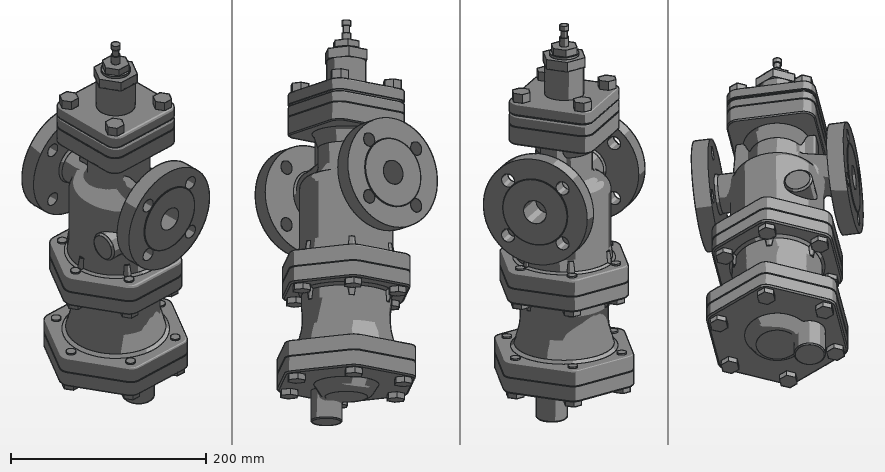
import cadquery as cq
import math

TOP = 417.5

STEM_DIA = 9.0
STEM_NECK_DIA = 6.5
STEM_HEAD_BOTTOM = 412.0
STEM_NECK_BOTTOM = 404.0
STEM_BOTTOM = 395.0
LOCK_NUT_FLATS = 24.5
LOCK_NUT_BOTTOM = 387.5
WASHER_DIA = 30.0
COLUMN_DIA = 40.0
CAP_NUT_TOP = 385.0
CAP_NUT_BOTTOM = 374.5

BONNET_SIDE = 92.3
BONNET_CORNER_RADIUS = 12.5
BONNET_TOP = 342.5
BONNET_GAP_TOP = 330.2
BONNET_GAP_BOTTOM = 328.5
BONNET_SEAM = 317.5
BONNET_BOTTOM = 297.3
BONNET_TOP_ROUND = 2.5
BONNET_BOTTOM_CHAMFER = 1.3
BONNET_GAP_DEPTH = 1.5
BONNET_BOLT_OFFSET = 34.0
BONNET_BOLT_FLATS = 17.0
BONNET_BOLT_HEIGHT = 9.5

NECK_DIA = 58.0
NECK_FLARE_DIA = 66.0
NECK_FLARE_TOP = 294.5
NECK_FOOT_DIA = 70.0
NECK_FLARE_BOTTOM = 282.5
NECK_BOTTOM = 261.0
BODY_DIA = 96.0
SHOULDER_SEAM_DIA = 75.0
SHOULDER_SEAM_Z = 251.5
SHOULDER_BOTTOM = 238.0
BODY_SKIRT_TOP = 178.0
BODY_SKIRT_DIA = 99.5
BODY_FOOT_DIA = 105.2
FOOT_HEIGHT = 2.0

LOWER_BODY_DIA = 92.3
LOWER_WAIST_DIA = 90.0
LOWER_COLLAR_BOTTOM = 114.5
LOWER_COLLAR_TOP = 126.0
LOWER_COLLAR_FOOT_DIA = 97.5
LOWER_FLARE_TOP = 89.0
LOWER_FLARE_DIA = 102.5
LOWER_FOOT_DIA = 110.2
LOWER_FOOT_HEIGHT = 3.0

HEX_BOTTOM_CHAMFER = 1.5
SEAM_HEIGHT = 1.0
SEAM_DEPTH = 0.5
UPPER_HEX_FLATS = 125.0
UPPER_HEX_CORNER_RADIUS = 13.5
UPPER_HEX_TOP = 163.5
UPPER_HEX_TOP_ROUND = 2.5
UPPER_HEX_SEAM = 146.0
UPPER_HEX_BOTTOM = 129.0
UPPER_BOLT_CIRCLE_DIA = 114.0
LOWER_HEX_FLATS = 135.0
LOWER_HEX_CORNER_RADIUS = 12.0
LOWER_HEX_TOP = 67.0
LOWER_HEX_TOP_ROUND = 1.5
LOWER_HEX_SEAM = 50.0
LOWER_HEX_BOTTOM = 32.5
LOWER_BOLT_CIRCLE_DIA = 127.0
HEX_BOLT_FLATS = 16.5
HEX_BOLT_HEIGHT = 6.3
STUD_DIA = 10.0
STUD_HEIGHT = 1.5
UPPER_RIB_CIRCLE_DIA = 94.5
LOWER_RIB_CIRCLE_DIA = 89.5
RIB_BASE_DIA = 10.0
RIB_TIP_DIA = 6.0
RIB_HEIGHT = 13.5

PORT_Z = 240.5
FLANGE_DIA = 115.0
FLANGE_FACE_X = 79.1
FLANGE_BACK_X = 61.8
RAISED_FACE_DIA = 72.0
RAISED_FACE_CHAMFER = 0.63
OVERALL_X = 160.0
FLANGE_HOLE_DIA = 14.0
FLANGE_HOLE_OFFSET = 30.0
PORT_BORE_DIA = 25.0
PORT_BORE_DEPTH = 33.5
PIPE_DIA = 40.0
PIPE_FLARE_DIA = 42.5
PIPE_FLARE_X = 58.5
PIPE_FILLET = 4.0
INNER_PIPE_WIDTH = 36.0
INNER_PIPE_HEIGHT = 36.7
INNER_PIPE_X = 21.0
INNER_PIPE_Z = 260.0
ELBOW_HEIGHT = 47.0
ELBOW_FLARE_HEIGHT = 50.5
ELBOW_Z = 246.0
PIER_TOP_X = 41.8
PIER_FOOT_X = 44.5
PIER_FOOT_Z = 254.5
PIER_WIDTH = 20.0
PIER_CORNER_RADIUS = 2.5
PIER_NECK_FILLET = 8.0

PAD_X = 29.5
PAD_Z = 203.0
PAD_DIA = 30.0
PAD_FACE_Y = -46.8
PAD_CHAMFER = 2.0

DISH_TOP_DIA = 67.0
DISH_RIM_DIA = 58.0
DISH_RIM_Z = 26.0
DISH_BOTTOM_DIA = 43.5
DISH_BOTTOM = 19.5
OUTLET_X = 34.0
OUTLET_DIA = 32.0
OUTLET_CHAMFER = 1.3
OUTLET_FILLET = 2.5


def cylinder(dia, bottom, top, x=0, y=0):
    return cq.Workplane("XY", origin=(x, y, bottom)).circle(dia / 2).extrude(top - bottom)


def hexagon(flats, bottom, top, x=0, y=0):
    """Hexagonal prism with two corners on the Y direction."""
    points = []
    for i in range(6):
        angle = math.radians(30 + 60 * i)
        radius = flats / math.sqrt(3)
        points.append((radius * math.cos(angle), radius * math.sin(angle)))
    return cq.Workplane("XY", origin=(x, y, bottom)).polyline(points).close().extrude(top - bottom)


def rounded_hexagon(flats, corner_radius, bottom, top):
    return hexagon(flats, bottom, top).edges("|Z").fillet(corner_radius)


def rounded_square(side, corner_radius, bottom, top):
    plate = cq.Workplane("XY", origin=(0, 0, bottom)).rect(side, side).extrude(top - bottom)
    return plate.edges("|Z").fillet(corner_radius)


def cone(bottom_dia, top_dia, bottom, top, x=0, y=0):
    solid = cq.Solid.makeCone(bottom_dia / 2, top_dia / 2, top - bottom, pnt=cq.Vector(x, y, bottom))
    return cq.Workplane(obj=solid)


def hex_positions(circle_dia):
    """Six places on a circle, in line with the flange corners."""
    positions = []
    for i in range(6):
        angle = math.radians(30 + 60 * i)
        positions.append((circle_dia / 2 * math.cos(angle), circle_dia / 2 * math.sin(angle)))
    return positions


def stem_and_nuts():
    parts = cylinder(COLUMN_DIA, BONNET_TOP, CAP_NUT_TOP)
    parts = parts.union(hexagon(COLUMN_DIA, CAP_NUT_BOTTOM, CAP_NUT_TOP))
    parts = parts.union(cylinder(WASHER_DIA, CAP_NUT_TOP, LOCK_NUT_BOTTOM))
    parts = parts.union(hexagon(LOCK_NUT_FLATS, LOCK_NUT_BOTTOM, STEM_BOTTOM))
    parts = parts.union(cylinder(STEM_DIA, STEM_BOTTOM, STEM_NECK_BOTTOM))
    parts = parts.union(cylinder(STEM_NECK_DIA, STEM_NECK_BOTTOM, STEM_HEAD_BOTTOM))
    return parts.union(cylinder(STEM_DIA, STEM_HEAD_BOTTOM, TOP))


def bonnet():
    top_plate = rounded_square(BONNET_SIDE, BONNET_CORNER_RADIUS, BONNET_GAP_TOP, BONNET_TOP)
    top_plate = top_plate.faces(">Z").edges().fillet(BONNET_TOP_ROUND)
    middle_plate = rounded_square(BONNET_SIDE, BONNET_CORNER_RADIUS, BONNET_SEAM, BONNET_GAP_BOTTOM)
    middle_plate = middle_plate.faces(">Z").edges().fillet(BONNET_TOP_ROUND)
    seam_bottom = BONNET_SEAM - SEAM_HEIGHT
    bottom_plate = rounded_square(BONNET_SIDE, BONNET_CORNER_RADIUS, BONNET_BOTTOM, seam_bottom)
    bottom_plate = bottom_plate.faces("<Z").chamfer(BONNET_BOTTOM_CHAMFER)
    gap_filler = rounded_square(
        BONNET_SIDE - 2 * BONNET_GAP_DEPTH,
        BONNET_CORNER_RADIUS - BONNET_GAP_DEPTH,
        BONNET_GAP_BOTTOM,
        BONNET_GAP_TOP,
    )
    seam_filler = rounded_square(
        BONNET_SIDE - 2 * SEAM_DEPTH, BONNET_CORNER_RADIUS - SEAM_DEPTH, seam_bottom, BONNET_SEAM
    )
    block = bottom_plate.union(seam_filler).union(middle_plate).union(gap_filler).union(top_plate)
    for x in (-BONNET_BOLT_OFFSET, BONNET_BOLT_OFFSET):
        for y in (-BONNET_BOLT_OFFSET, BONNET_BOLT_OFFSET):
            bolt = hexagon(BONNET_BOLT_FLATS, BONNET_TOP, BONNET_TOP + BONNET_BOLT_HEIGHT, x, y)
            block = block.union(bolt)
    return block


def turned_body():
    """Neck, shoulder, body and lower body turned about the Z axis."""
    body_radius = BODY_DIA / 2
    seam_radius = SHOULDER_SEAM_DIA / 2
    across = body_radius - seam_radius
    rise = SHOULDER_SEAM_Z - SHOULDER_BOTTOM
    shoulder_radius = (across**2 + rise**2) / (2 * across)
    half_turn = math.asin(rise / shoulder_radius) / 2
    shoulder_middle = (
        body_radius - shoulder_radius * (1 - math.cos(half_turn)),
        SHOULDER_BOTTOM + shoulder_radius * math.sin(half_turn),
    )
    profile = (
        cq.Workplane("XZ")
        .moveTo(0, LOWER_HEX_TOP)
        .lineTo(LOWER_FOOT_DIA / 2, LOWER_HEX_TOP)
        .lineTo(LOWER_FLARE_DIA / 2, LOWER_HEX_TOP + LOWER_FOOT_HEIGHT)
        .lineTo(LOWER_BODY_DIA / 2, LOWER_FLARE_TOP)
        .threePointArc(
            (LOWER_WAIST_DIA / 2, (LOWER_FLARE_TOP + LOWER_COLLAR_BOTTOM) / 2),
            (LOWER_BODY_DIA / 2, LOWER_COLLAR_BOTTOM),
        )
        .lineTo(LOWER_BODY_DIA / 2, LOWER_COLLAR_TOP)
        .lineTo(LOWER_COLLAR_FOOT_DIA / 2, UPPER_HEX_BOTTOM)
        .lineTo(LOWER_COLLAR_FOOT_DIA / 2, UPPER_HEX_TOP)
        .lineTo(BODY_FOOT_DIA / 2, UPPER_HEX_TOP)
        .lineTo(BODY_SKIRT_DIA / 2, UPPER_HEX_TOP + FOOT_HEIGHT)
        .lineTo(body_radius, BODY_SKIRT_TOP)
        .lineTo(body_radius, SHOULDER_BOTTOM)
        .threePointArc(shoulder_middle, (seam_radius, SHOULDER_SEAM_Z))
        .tangentArcPoint((NECK_DIA / 2, NECK_BOTTOM), relative=False)
        .lineTo(NECK_DIA / 2, NECK_FLARE_BOTTOM)
        .lineTo(NECK_FLARE_DIA / 2, NECK_FLARE_TOP)
        .lineTo(NECK_FOOT_DIA / 2, BONNET_BOTTOM)
        .lineTo(0, BONNET_BOTTOM)
        .close()
    )
    return profile.revolve(360, (0, 0), (0, 1))


def hex_flange(flats, corner_radius, bottom, seam, top, top_round, bolt_circle_dia):
    """Two hexagonal plates with a fine seam between them, six bolts below and stud ends above."""
    flange = rounded_hexagon(flats, corner_radius, bottom, top)
    flange = flange.faces(">Z").edges().fillet(top_round).faces("<Z").chamfer(HEX_BOTTOM_CHAMFER)
    seam_bottom = seam - SEAM_HEIGHT / 2
    seam_top = seam + SEAM_HEIGHT / 2
    seam_ring = hexagon(flats + 4, seam_bottom, seam_top).cut(
        rounded_hexagon(flats - 2 * SEAM_DEPTH, corner_radius - SEAM_DEPTH, seam_bottom, seam_top)
    )
    flange = flange.cut(seam_ring)
    for x, y in hex_positions(bolt_circle_dia):
        flange = flange.union(hexagon(HEX_BOLT_FLATS, bottom - HEX_BOLT_HEIGHT, bottom, x, y))
        flange = flange.union(cylinder(STUD_DIA, top, top + STUD_HEIGHT, x, y))
    return flange


def flange_ribs():
    """Small conical ribs where the body meets the upper hexagonal flange, above and below."""
    ribs = cq.Workplane("XY")
    for x, y in hex_positions(UPPER_RIB_CIRCLE_DIA):
        ribs = ribs.union(cone(RIB_BASE_DIA, RIB_TIP_DIA, UPPER_HEX_TOP, UPPER_HEX_TOP + RIB_HEIGHT, x, y))
    for x, y in hex_positions(LOWER_RIB_CIRCLE_DIA):
        ribs = ribs.union(
            cone(RIB_TIP_DIA, RIB_BASE_DIA, UPPER_HEX_BOTTOM - RIB_HEIGHT, UPPER_HEX_BOTTOM, x, y)
        )
    return ribs


def side_flange(side):
    """Round flange with a raised face; side is -1 for -X and 1 for +X."""
    def disc(dia, start, end):
        plane = cq.Workplane("YZ", origin=(side * start, 0, PORT_Z))
        return plane.circle(dia / 2).extrude(side * (end - start))

    flange = disc(FLANGE_DIA, FLANGE_BACK_X, FLANGE_FACE_X)
    raised_face = disc(RAISED_FACE_DIA, FLANGE_FACE_X, OVERALL_X / 2)
    outer_face = "<X" if side < 0 else ">X"
    flange = flange.union(raised_face.faces(outer_face).chamfer(RAISED_FACE_CHAMFER))
    spacing = 2 * FLANGE_HOLE_OFFSET
    holes = (
        cq.Workplane("YZ", origin=(side * FLANGE_BACK_X, 0, PORT_Z))
        .rect(spacing, spacing, forConstruction=True)
        .vertices()
        .circle(FLANGE_HOLE_DIA / 2)
        .extrude(side * (FLANGE_FACE_X - FLANGE_BACK_X))
    )
    return flange.cut(holes)


def port_bore(side):
    return (
        cq.Workplane("YZ", origin=(side * OVERALL_X / 2, 0, PORT_Z))
        .circle(PORT_BORE_DIA / 2)
        .extrude(-side * PORT_BORE_DEPTH)
    )


def inlet_pipe():
    plane = cq.Workplane("YZ", origin=(-FLANGE_BACK_X, 0, PORT_Z))
    return plane.circle(PIPE_DIA / 2).extrude(FLANGE_BACK_X)


def inlet_flare():
    """Short cone that widens the inlet pipe where it reaches its flange."""
    solid = cq.Solid.makeCone(
        PIPE_FLARE_DIA / 2,
        PIPE_DIA / 2,
        FLANGE_BACK_X - PIPE_FLARE_X,
        pnt=cq.Vector(-FLANGE_BACK_X, 0, PORT_Z),
        dir=cq.Vector(1, 0, 0),
    )
    return cq.Workplane(obj=solid)


def outlet_pipe():
    """Oval pipe that climbs from the +X flange onto the shoulder."""
    return (
        cq.Workplane("YZ", origin=(INNER_PIPE_X, 0, 0))
        .center(0, INNER_PIPE_Z)
        .ellipse(INNER_PIPE_WIDTH / 2, INNER_PIPE_HEIGHT / 2)
        .workplane(offset=PIPE_FLARE_X - INNER_PIPE_X)
        .center(0, ELBOW_Z - INNER_PIPE_Z)
        .ellipse(PIPE_DIA / 2, ELBOW_HEIGHT / 2)
        .workplane(offset=FLANGE_BACK_X - PIPE_FLARE_X)
        .ellipse(PIPE_FLARE_DIA / 2, ELBOW_FLARE_HEIGHT / 2)
        .loft(ruled=True)
    )


def bonnet_pier(side, foot_x):
    """Upright web joining a pipe to the underside of the bonnet, filleted into the neck."""
    height = BONNET_BOTTOM - PIER_FOOT_Z
    half_width = PIER_WIDTH / 2
    neck_radius = NECK_DIA / 2
    centre_y = half_width + PIER_NECK_FILLET
    centre_x = math.sqrt((neck_radius + PIER_NECK_FILLET) ** 2 - centre_y**2)
    shrink = neck_radius / (neck_radius + PIER_NECK_FILLET)
    start_y = centre_y * shrink
    start_x = centre_x * shrink
    middle_angle = (math.atan2(-centre_y, -centre_x) - math.pi / 2) / 2
    middle_x = centre_x + PIER_NECK_FILLET * math.cos(middle_angle)
    middle_y = centre_y + PIER_NECK_FILLET * math.sin(middle_angle)
    plan = (
        cq.Workplane("XY", origin=(0, 0, PIER_FOOT_Z))
        .moveTo(0, start_y)
        .lineTo(side * start_x, start_y)
        .threePointArc((side * middle_x, middle_y), (side * centre_x, half_width))
        .lineTo(side * foot_x, half_width)
        .lineTo(side * foot_x, 0)
        .lineTo(0, 0)
        .close()
        .extrude(height)
    )
    outline = [
        (0, BONNET_BOTTOM),
        (side * PIER_TOP_X, BONNET_BOTTOM),
        (side * foot_x, PIER_FOOT_Z),
        (0, PIER_FOOT_Z),
    ]
    elevation = cq.Workplane("XZ").polyline(outline).close().extrude(2 * start_y, both=True)
    pier = plan.union(plan.mirror("XZ")).clean().intersect(elevation)
    corners = cq.selectors.BoxSelector(
        (side * (PIER_TOP_X - 0.5), -PIER_WIDTH, PIER_FOOT_Z + 4),
        (side * (foot_x + 0.5), PIER_WIDTH, BONNET_BOTTOM - 4),
    )
    return pier.edges(corners).fillet(PIER_CORNER_RADIUS)


def front_pad():
    pad = cq.Workplane("XZ", origin=(PAD_X, 0, PAD_Z)).circle(PAD_DIA / 2).extrude(-PAD_FACE_Y)
    return pad.faces("<Y").chamfer(PAD_CHAMFER)


def bottom_dish():
    bulge_middle = ((DISH_RIM_DIA + DISH_BOTTOM_DIA) / 4 + 1.0, (DISH_RIM_Z + DISH_BOTTOM) / 2 - 1.0)
    return (
        cq.Workplane("XZ")
        .moveTo(0, DISH_BOTTOM)
        .lineTo(DISH_BOTTOM_DIA / 2, DISH_BOTTOM)
        .threePointArc(bulge_middle, (DISH_RIM_DIA / 2, DISH_RIM_Z))
        .lineTo(DISH_TOP_DIA / 2, LOWER_HEX_BOTTOM)
        .lineTo(0, LOWER_HEX_BOTTOM)
        .close()
        .revolve(360, (0, 0), (0, 1))
    )


def dish_and_outlet():
    """Dish with the offset outlet tube, filleted along the curve where they meet."""
    outlet = cylinder(OUTLET_DIA, 0, LOWER_HEX_BOTTOM, OUTLET_X).faces("<Z").chamfer(OUTLET_CHAMFER)
    joint = cq.selectors.BoxSelector(
        (OUTLET_X - OUTLET_DIA / 2, -OUTLET_DIA, DISH_BOTTOM - 0.5),
        (OUTLET_X, OUTLET_DIA, LOWER_HEX_BOTTOM - 0.5),
    )
    return bottom_dish().union(outlet).edges(joint).fillet(OUTLET_FILLET)


def body_with_pipes():
    """Turned body with both pipes, each blended along the curve where it meets the body."""
    joint_depth = PIPE_DIA
    joint_bottom = PORT_Z - PIPE_DIA
    inlet_joint = cq.selectors.BoxSelector(
        (-BODY_DIA / 2, -joint_depth, joint_bottom), (-NECK_DIA / 2, joint_depth, BONNET_BOTTOM)
    )
    outlet_joint = cq.selectors.BoxSelector(
        (INNER_PIPE_X, -joint_depth, joint_bottom), (BODY_DIA / 2, joint_depth, BONNET_BOTTOM)
    )
    body = turned_body().union(inlet_pipe()).edges(inlet_joint).fillet(PIPE_FILLET)
    body = body.union(outlet_pipe()).edges(outlet_joint).fillet(PIPE_FILLET)
    return body.union(inlet_flare())


upper_flange = hex_flange(
    UPPER_HEX_FLATS,
    UPPER_HEX_CORNER_RADIUS,
    UPPER_HEX_BOTTOM,
    UPPER_HEX_SEAM,
    UPPER_HEX_TOP,
    UPPER_HEX_TOP_ROUND,
    UPPER_BOLT_CIRCLE_DIA,
)
lower_flange = hex_flange(
    LOWER_HEX_FLATS,
    LOWER_HEX_CORNER_RADIUS,
    LOWER_HEX_BOTTOM,
    LOWER_HEX_SEAM,
    LOWER_HEX_TOP,
    LOWER_HEX_TOP_ROUND,
    LOWER_BOLT_CIRCLE_DIA,
)

result = body_with_pipes()
result = result.union(bonnet_pier(-1, PIER_FOOT_X)).union(bonnet_pier(1, PIER_TOP_X))
result = result.union(upper_flange).union(lower_flange).union(flange_ribs())
result = result.union(front_pad()).union(bonnet()).union(stem_and_nuts()).union(dish_and_outlet())
for flange_side in (-1, 1):
    result = result.union(side_flange(flange_side)).cut(port_bore(flange_side))